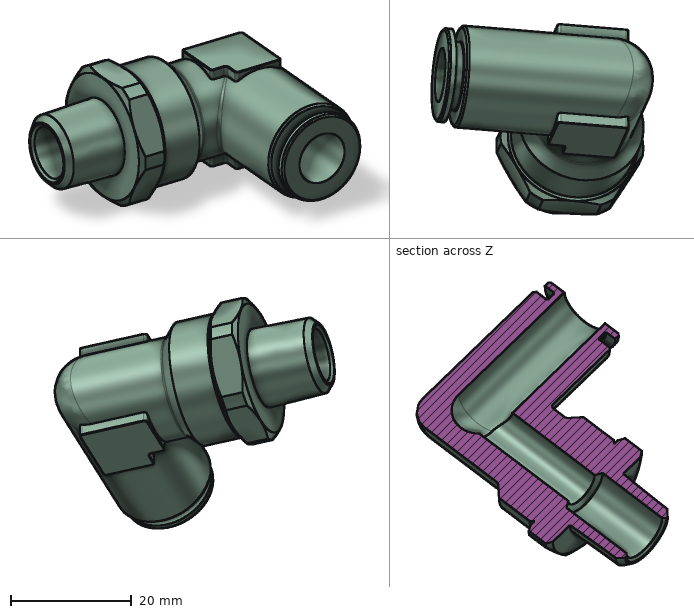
import cadquery as cq
import math


total_length = 45.6
body_radius = 8.5
outer_corner_radius = 4.0
small_fillet = 0.5

branch_end = 23.55
branch_chamfer = 0.35
neck_radius = 5.7
neck_corner = 0.15
flange_start = 25.25
flange_end = 26.5
flange_radius = 7.8
flange_chamfer = 0.3

collar_radius = 10.55
collar_top = -13.75
collar_chamfer = 0.5
cone_top = collar_top + collar_radius - body_radius

hex_across_flats = 22.0
hex_corner_radius = 12.05
hex_face_radius = 10.95
hex_turn = 30
hex_chamfer_angle = 30
hex_chamfer_height = (hex_corner_radius - hex_face_radius) * math.tan(math.radians(hex_chamfer_angle))
hex_top = -21.05
hex_bottom = -26.1

thread_end = body_radius - total_length
thread_start_radius = 6.7
thread_end_radius = 6.45
thread_chamfer = 1.1

pad_outer = 4.45
pad_inner = 7.5
pad_height = 9.05
pad_rim_chamfer = 0.1

stem_bore_radius = 3.3
branch_bore_radius = 4.45
mouth_radius = 4.45
mouth_chamfer = 0.5
mouth_depth = 13.7
mouth_cone_half_angle = 59
mouth_cone_length = (mouth_radius - stem_bore_radius) / math.tan(math.radians(mouth_cone_half_angle))


def turned(plane, points):
    """Solid of revolution about the plane's first axis from (axial position, radius) points."""
    return cq.Workplane(plane).polyline(points).close().revolve(360, (0, 0), (1, 0))


def make_mitred_tubes():
    """Stem (with its collar) and tube branch, joined on the 45 degree mitre plane."""
    stem = turned("YZ", [
        (body_radius, 0),
        (body_radius, body_radius),
        (cone_top, body_radius),
        (collar_top, collar_radius),
        (hex_top + collar_chamfer, collar_radius),
        (hex_top, collar_radius - collar_chamfer),
        (hex_top, 0),
    ])
    cone_edge = cq.selectors.NearestToPointSelector((0, cone_top, 0))
    stem = stem.edges("%CIRCLE").edges(cone_edge).fillet(small_fillet)
    branch = turned("XZ", [
        (-body_radius, 0),
        (-body_radius, body_radius),
        (branch_end - branch_chamfer, body_radius),
        (branch_end, body_radius - branch_chamfer),
        (branch_end, 0),
    ])
    stem_side = (
        cq.Workplane("XY")
        .polyline([
            (-total_length, total_length),
            (total_length, -total_length),
            (-total_length, -total_length),
        ])
        .close()
        .extrude(total_length, both=True)
    )
    return stem.intersect(stem_side).union(branch.cut(stem_side))


def make_pads():
    """L-shaped plate through the elbow that stands out as a flat pad on each side."""
    return (
        cq.Workplane("XY")
        .polyline([
            (-pad_outer, pad_outer),
            (pad_inner, pad_outer),
            (pad_inner, -pad_outer),
            (pad_outer, -pad_outer),
            (pad_outer, -pad_inner),
            (-pad_outer, -pad_inner),
        ])
        .close()
        .extrude(pad_height, both=True)
        .edges("|Z")
        .fillet(small_fillet)
        .faces("|Z")
        .chamfer(pad_rim_chamfer)
    )


def make_elbow():
    """Mitred tubes with pads; the mitre edges left between the pads are rounded."""
    elbow = make_mitred_tubes().union(make_pads())
    elbow = elbow.edges("%ELLIPSE").edges("<(1,-1,0)").fillet(outer_corner_radius)
    return elbow.edges("%ELLIPSE").edges(">(1,-1,0)").fillet(small_fillet)


def make_release_sleeve():
    """Necked and flanged sleeve at the open end of the tube branch."""
    return turned("XZ", [
        (branch_end, 0),
        (branch_end, neck_radius + neck_corner),
        (branch_end + neck_corner, neck_radius),
        (flange_start - neck_corner, neck_radius),
        (flange_start, neck_radius + neck_corner),
        (flange_start, flange_radius),
        (flange_end - flange_chamfer, flange_radius),
        (flange_end, flange_radius - flange_chamfer),
        (flange_end, 0),
    ])


def make_hexagon():
    """Hexagon with flats facing +Z and -Z, trimmed by a chamfered round blank."""
    prism = (
        cq.Workplane("XZ", origin=(0, hex_top, 0))
        .polygon(6, hex_across_flats, circumscribed=True)
        .extrude(hex_top - hex_bottom)
        .rotate((0, 0, 0), (0, 1, 0), hex_turn)
    )
    blank = turned("YZ", [
        (hex_top, 0),
        (hex_top, hex_face_radius),
        (hex_top - hex_chamfer_height, hex_corner_radius),
        (hex_bottom + hex_chamfer_height, hex_corner_radius),
        (hex_bottom, hex_face_radius),
        (hex_bottom, 0),
    ])
    return prism.intersect(blank)


def make_thread():
    """Tapered plain thread blank with a chamfered end."""
    return turned("YZ", [
        (hex_bottom, 0),
        (hex_bottom, thread_start_radius),
        (thread_end + thread_chamfer, thread_end_radius),
        (thread_end, thread_end_radius - thread_chamfer),
        (thread_end, 0),
    ])


def make_passage():
    """Stem mouth and bore opening into the branch bore, which ends in a sphere at the elbow."""
    mouth_floor = thread_end + mouth_depth
    stem_bore = turned("YZ", [
        (thread_end, 0),
        (thread_end, mouth_radius + mouth_chamfer),
        (thread_end + mouth_chamfer, mouth_radius),
        (mouth_floor, mouth_radius),
        (mouth_floor + mouth_cone_length, stem_bore_radius),
        (0, stem_bore_radius),
        (0, 0),
    ])
    branch_bore = cq.Workplane("YZ").circle(branch_bore_radius).extrude(flange_end)
    bore_end = cq.Workplane("XY").sphere(branch_bore_radius)
    return stem_bore.union(branch_bore).union(bore_end)


result = (
    make_elbow()
    .union(make_release_sleeve())
    .union(make_hexagon())
    .union(make_thread())
    .cut(make_passage())
)